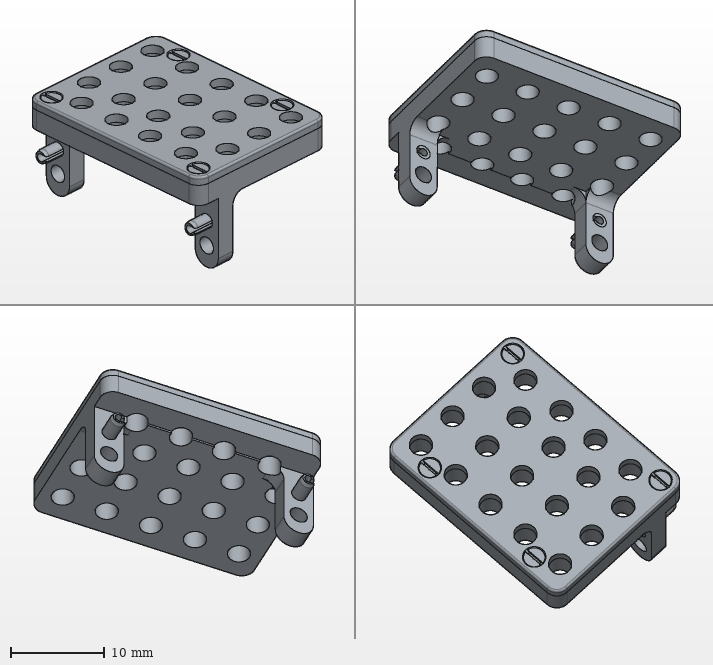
import cadquery as cq

WIDTH = 25.9
DEPTH = 19.82
HEIGHT = 12.65
CORNER_RADIUS = 1.5

COVER_THICKNESS = 1.0
COVER_EDGE_RADIUS = 0.25
COVER_BOTTOM = HEIGHT - COVER_THICKNESS

FRONT_THICKNESS = 3.5
UNDERSIDE_STEP = 0.25
FRONT_UNDERSIDE = HEIGHT - FRONT_THICKNESS
REAR_UNDERSIDE = FRONT_UNDERSIDE - UNDERSIDE_STEP
LEG_WIDTH = 3.5
LEG_THICKNESS = 2.25
LEG_FRONT = 3.0
LEG_BACK = LEG_FRONT + LEG_THICKNESS
LEG_TIP_RADIUS = LEG_WIDTH / 2
LEG_X = WIDTH / 2 - LEG_TIP_RADIUS
LEG_FILLET_RADIUS = 1.5
LEG_HOLE_DIAMETER = 2.02
LEG_HOLE_Z = 2.67

HOLE_DIAMETER = 2.5
HOLE_PITCH_X = 5.2
HOLE_PITCH_Y = 4.87
GRID_COLUMNS = 5
GRID_ROWS = 3
GRID_FRONT_Y = 7.0
FRONT_ROW_Y = 3.25
FRONT_ROW_OUTER_X = 7.85
FRONT_ROW_INNER_LEFT_X = -0.5 * HOLE_PITCH_X
FRONT_ROW_INNER_RIGHT_X = 2.45

COUNTERSINK_DIAMETER = 2.51
SCREW_SINK = 0.1
SCREW_TOP = HEIGHT - SCREW_SINK
SCREW_HEAD_DIAMETER = COUNTERSINK_DIAMETER - 2 * SCREW_SINK
SCREW_SHANK_DIAMETER = 1.0
SCREW_HEAD_HEIGHT = (SCREW_HEAD_DIAMETER - SCREW_SHANK_DIAMETER) / 2
SCREW_LENGTH = 2.51
SCREW_SLOT_WIDTH = 0.3
SCREW_SLOT_DEPTH = 0.29
REAR_SCREW_X = 1.5 * HOLE_PITCH_X
REAR_SCREW_Y = 18.05
FRONT_SCREW_X = 11.06
FRONT_SCREW_Y = 1.9

PIN_DIAMETER = 1.68
PIN_BORE_DIAMETER = 0.95
PIN_SLOT_WIDTH = 0.62
PIN_SLOT_CHAMFER = 0.15
PIN_TIP_Y = 0.35
PIN_TAPER_LENGTH = 0.5
PIN_TAPER_INSET = 0.13
PIN_Z = 5.73

GRID_HOLES = [
    ((column - (GRID_COLUMNS - 1) / 2) * HOLE_PITCH_X, GRID_FRONT_Y + row * HOLE_PITCH_Y)
    for row in range(GRID_ROWS)
    for column in range(GRID_COLUMNS)
]
FRONT_ROW_HOLES = [
    (x, FRONT_ROW_Y)
    for x in (-FRONT_ROW_OUTER_X, FRONT_ROW_INNER_LEFT_X, FRONT_ROW_INNER_RIGHT_X, FRONT_ROW_OUTER_X)
]
SCREW_POINTS = [
    (side * x, y)
    for side in (-1, 1)
    for x, y in ((FRONT_SCREW_X, FRONT_SCREW_Y), (REAR_SCREW_X, REAR_SCREW_Y))
]
LEG_CENTRES = [-LEG_X, LEG_X]


def block(x_min, x_max, y_min, y_max, z_min, z_max):
    """Box between the given limits."""
    size = (x_max - x_min, y_max - y_min, z_max - z_min)
    return cq.Workplane("XY").box(*size, centered=False).translate((x_min, y_min, z_min))


def rounded_slab(z_min, z_max):
    """Full-size slab with rounded vertical corners."""
    slab = block(-WIDTH / 2, WIDTH / 2, 0, DEPTH, z_min, z_max)
    return slab.edges("|Z").fillet(CORNER_RADIUS)


def cylinder_y(diameter, x, z, y_min, y_max):
    """Cylinder along Y between two Y positions."""
    circle = cq.Workplane("XZ", origin=(x, y_min, z)).circle(diameter / 2)
    return circle.extrude(-(y_max - y_min))


def round_holes():
    """Cutters for all the vertical round holes."""
    circles = cq.Workplane("XY").pushPoints(GRID_HOLES + FRONT_ROW_HOLES).circle(HOLE_DIAMETER / 2)
    return circles.extrude(HEIGHT)


def screw_shape(x, y, head_diameter, head_top):
    """Flat-topped 45 degree cone on the round shank, with its top face at head_top."""
    shank_radius = SCREW_SHANK_DIAMETER / 2
    cone_bottom = SCREW_TOP - SCREW_HEAD_HEIGHT
    profile = (
        cq.Workplane("XZ")
        .moveTo(0, head_top)
        .lineTo(head_diameter / 2, head_top)
        .lineTo(shank_radius, cone_bottom)
        .lineTo(shank_radius, SCREW_TOP - SCREW_LENGTH)
        .lineTo(0, SCREW_TOP - SCREW_LENGTH)
        .close()
    )
    return profile.revolve(360, (0, 0, 0), (0, 1, 0)).translate((x, y, 0))


def make_screw(x, y):
    """Slotted countersunk screw with the slot along X."""
    slot = block(
        x - SCREW_HEAD_DIAMETER / 2, x + SCREW_HEAD_DIAMETER / 2,
        y - SCREW_SLOT_WIDTH / 2, y + SCREW_SLOT_WIDTH / 2,
        SCREW_TOP - SCREW_SLOT_DEPTH, SCREW_TOP,
    )
    return screw_shape(x, y, SCREW_HEAD_DIAMETER, SCREW_TOP).cut(slot)


def cut_screw_holes(body):
    """Cut the countersunk screw holes, which reach the top of the cover."""
    for x, y in SCREW_POINTS:
        body = body.cut(screw_shape(x, y, COUNTERSINK_DIAMETER, HEIGHT))
    return body


def pin_slot(x):
    """Cutter for the lengthwise pin slot, chamfered wider at the tip."""
    half_width = PIN_SLOT_WIDTH / 2
    half_mouth = half_width + PIN_SLOT_CHAMFER
    chamfer_end_y = PIN_TIP_Y + PIN_SLOT_CHAMFER
    profile = cq.Workplane("YZ", origin=(x, 0, PIN_Z)).polyline(
        [
            (PIN_TIP_Y, -half_mouth),
            (chamfer_end_y, -half_width),
            (LEG_BACK, -half_width),
            (LEG_BACK, half_width),
            (chamfer_end_y, half_width),
            (PIN_TIP_Y, half_mouth),
        ]
    )
    return profile.close().extrude(PIN_DIAMETER)


def make_pin(x):
    """Tubular spring pin along Y, tapered at the front and slotted on its +X side."""
    pin = cylinder_y(PIN_DIAMETER, x, PIN_Z, PIN_TIP_Y, LEG_BACK)
    pin = pin.faces("<Y").chamfer(PIN_TAPER_LENGTH, PIN_TAPER_INSET)
    bore = cylinder_y(PIN_BORE_DIAMETER, x, PIN_Z, PIN_TIP_Y, LEG_BACK)
    return pin.cut(bore).cut(pin_slot(x))


def leg_wall():
    """Both legs in one wall: round tips below, filleted opening between them."""
    half_width = WIDTH / 2
    inner_x = half_width - LEG_WIDTH
    wall = block(-half_width, half_width, LEG_FRONT, LEG_BACK, LEG_TIP_RADIUS, REAR_UNDERSIDE)
    opening = block(-inner_x, inner_x, LEG_FRONT, LEG_BACK, LEG_TIP_RADIUS, REAR_UNDERSIDE)
    wall = wall.cut(opening.edges("|Y and >Z").fillet(LEG_FILLET_RADIUS))
    for x in LEG_CENTRES:
        wall = wall.union(cylinder_y(LEG_WIDTH, x, LEG_TIP_RADIUS, LEG_FRONT, LEG_BACK))
    return wall


def leg_back_fillets():
    """Concave fillets where the backs of the legs meet the slab."""
    radius = LEG_FILLET_RADIUS
    fillets = cq.Workplane("XY")
    for x in LEG_CENTRES:
        fillet = block(
            x - LEG_WIDTH / 2, x + LEG_WIDTH / 2,
            LEG_BACK, LEG_BACK + radius,
            REAR_UNDERSIDE - radius, REAR_UNDERSIDE,
        )
        rounding = (
            cq.Workplane("YZ", origin=(x - LEG_WIDTH / 2, LEG_BACK + radius, REAR_UNDERSIDE - radius))
            .circle(radius)
            .extrude(LEG_WIDTH)
        )
        fillets = fillets.add(fillet.cut(rounding))
    return fillets


def make_bracket():
    """Slab with a stepped underside, two legs, and all the holes."""
    step = block(-WIDTH / 2, WIDTH / 2, 0, LEG_FRONT, REAR_UNDERSIDE, FRONT_UNDERSIDE)
    bracket = rounded_slab(REAR_UNDERSIDE, COVER_BOTTOM).cut(step).union(leg_wall())
    bracket = bracket.union(leg_back_fillets()).cut(round_holes())
    for x in LEG_CENTRES:
        bracket = bracket.cut(cylinder_y(LEG_HOLE_DIAMETER, x, LEG_HOLE_Z, LEG_FRONT, LEG_BACK))
        bracket = bracket.cut(cylinder_y(PIN_DIAMETER, x, PIN_Z, LEG_FRONT, LEG_BACK))
    return cut_screw_holes(bracket)


def make_cover():
    """Flat plate with a rounded top edge, round holes and countersinks."""
    cover = rounded_slab(COVER_BOTTOM, HEIGHT).faces(">Z").edges().fillet(COVER_EDGE_RADIUS)
    return cut_screw_holes(cover.cut(round_holes()))


bracket = make_bracket()
cover = make_cover()
screws = [make_screw(x, y) for x, y in SCREW_POINTS]
pins = [make_pin(x) for x in LEG_CENTRES]

result = cq.Compound.makeCompound(
    [
        bracket.val(),
        cover.val(),
        *[screw.val() for screw in screws],
        *[pin.val() for pin in pins],
    ]
)